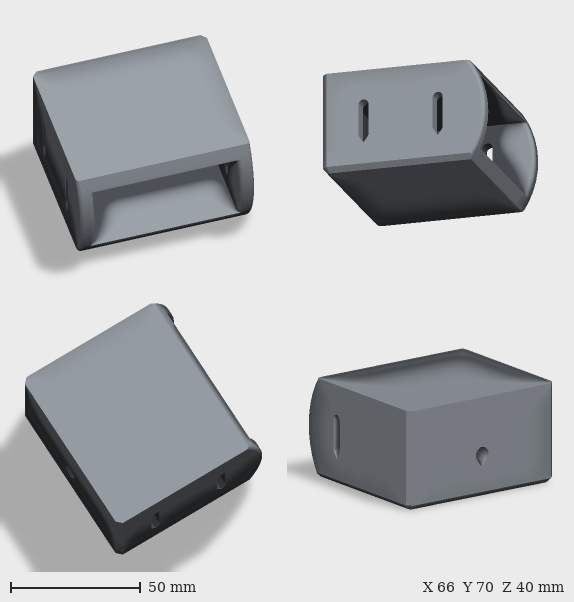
import cadquery as cq
import math

LENGTH = 66.0
WIDTH = 70.0
HEIGHT = 40.0
MOUTH_RADIUS = 35.0
SIDE_WALL = 5.8
FLOOR_WALL = 5.0
CHAMFER = 2.0
MOUTH_FILLET = 1.5

TIP_HALF_ANGLE = math.radians(35)
SLOT_RADIUS = 2.0
SLOT_BOTTOM = 14.0
SLOT_TOP = 26.0
SINGLE_SLOT_X = 17.0
THROUGH_SLOT_X = 47.0
HOLE_RADIUS = 3.0
HOLE_HEIGHT = 17.0

MOUTH_SAG = MOUTH_RADIUS - math.sqrt(MOUTH_RADIUS**2 - (HEIGHT / 2) ** 2)
MOUTH_BASE = LENGTH - MOUTH_SAG


def make_body():
    """Hollow box, open at its convex +X end, with a rounded mouth."""
    outer = (
        cq.Workplane("XZ")
        .lineTo(MOUTH_BASE, 0)
        .threePointArc((LENGTH, HEIGHT / 2), (MOUTH_BASE, HEIGHT))
        .lineTo(0, HEIGHT)
        .close()
        .extrude(WIDTH / 2, both=True)
    )
    outer = outer.edges("%CIRCLE").fillet(MOUTH_FILLET)

    cavity = cq.Workplane("XY").box(
        LENGTH, WIDTH - 2 * SIDE_WALL, HEIGHT - 2 * FLOOR_WALL, centered=(False, True, False)
    ).translate((SIDE_WALL, 0, FLOOR_WALL))
    body = outer.cut(cavity)

    margin = 0.1
    inner_rim = cq.selectors.BoxSelector(
        (MOUTH_BASE, -WIDTH / 2 + SIDE_WALL - margin, FLOOR_WALL - margin),
        (LENGTH + margin, WIDTH / 2 - SIDE_WALL + margin, HEIGHT - FLOOR_WALL + margin),
        boundingbox=True,
    )
    return body.edges(inner_rim).edges("%CIRCLE").fillet(MOUTH_FILLET)


def make_chamfer_envelope():
    """Block with bevelled back corners and bevelled back and side bottom edges."""
    block = cq.Workplane("XY").box(2 * LENGTH, WIDTH, HEIGHT, centered=(False, True, False))
    block = block.edges("|Z and <X").chamfer(CHAMFER)
    return block.faces("<Z").edges("not >X").chamfer(CHAMFER)


def teardrop(plane, center, bottom, top, radius):
    """Closed outline of a round-topped opening with a pointed lower end."""
    tangent_x = radius * math.cos(TIP_HALF_ANGLE)
    tangent_z = bottom - radius * math.sin(TIP_HALF_ANGLE)
    tip_z = bottom - radius / math.sin(TIP_HALF_ANGLE)
    mid_x = radius * math.cos(TIP_HALF_ANGLE / 2)
    mid_z = bottom - radius * math.sin(TIP_HALF_ANGLE / 2)
    sketch = (
        cq.Workplane(plane)
        .moveTo(center, tip_z)
        .lineTo(center + tangent_x, tangent_z)
        .threePointArc((center + mid_x, mid_z), (center + radius, bottom))
    )
    if top > bottom:
        sketch = sketch.lineTo(center + radius, top)
    sketch = sketch.threePointArc((center, top + radius), (center - radius, top))
    if top > bottom:
        sketch = sketch.lineTo(center - radius, bottom)
    return sketch.threePointArc((center - mid_x, mid_z), (center - tangent_x, tangent_z)).close()


def make_slot(x):
    """Slot cutter reaching from the middle of the part out through the -Y wall."""
    return teardrop("XZ", x, SLOT_BOTTOM, SLOT_TOP, SLOT_RADIUS).extrude(WIDTH / 2)


body = make_body().intersect(make_chamfer_envelope())

front_slots = make_slot(SINGLE_SLOT_X).union(make_slot(THROUGH_SLOT_X))
rear_slot = make_slot(THROUGH_SLOT_X).mirror("XZ")
back_hole = teardrop("YZ", 0, HOLE_HEIGHT, HOLE_HEIGHT, HOLE_RADIUS).extrude(2 * SIDE_WALL)

result = body.cut(front_slots).cut(rear_slot).cut(back_hole)